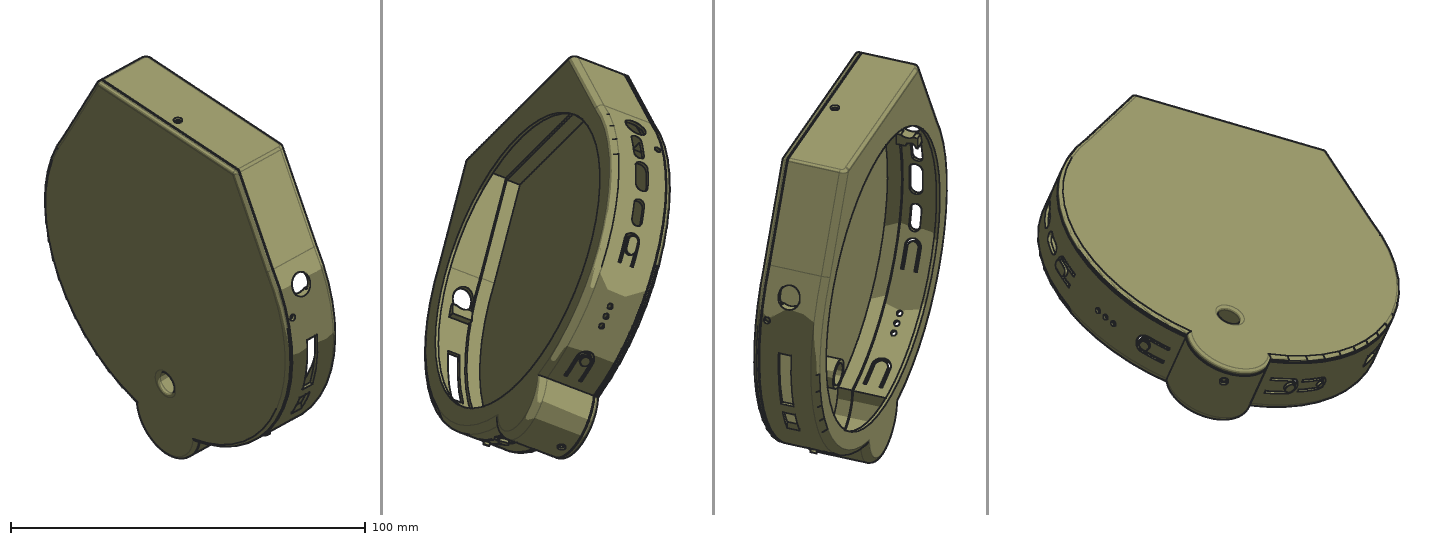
import cadquery as cq
import math

height = 115.8
body_radius = 51.24
body_center_z = 3.07
lobe_radius = 12.6
top_half_width = 28.8
shoulder_z = 30.8
corner_radius = 1.0

depth = 19.5
front_y = -depth / 2
back_y = depth / 2
wall = 1.0
lid_thickness = 1.6
seam_gap = 0.3
lip_depth = 4.3
edge_round = 1.0
back_round = 2.0

lid_back_y = front_y + lid_thickness
rim_y = lid_back_y + seam_gap

back_opening_diameter = 88.3
lid_hole_diameter = 6.5
lid_hole_z = -32.8
jack_diameter = 6.5
jack_y = -0.5
jack_z = 23.7
jack_shelf_top = 21.1
jack_shelf_bottom = 17.6
jack_shelves = [(-1, 44.6), (1, 46.1)]
pin_hole_diameter = 1.9
pin_hole_y = -6.1
pin_hole_z = 16.3
screw_y = -4.9
screw_diameter = 1.6
screw_head_diameter = 2.5
screw_head_depth = 0.5
left_slots = [(0.7, 14.2, 3.4, 9.3), (0.1, 3.1, 4.0, 10.2), (0.5, -9.0, 3.4, 8.1)]
right_ports = [(-0.1, -2.1, 3.8, 18.5), (-0.1, -19.0, 3.8, 8.1)]
mic_diameter = 1.6
mic_y = 1.0
mic_first_angle = 225.8
mic_pitch_angle = 3.4
mic_count = 3

button_y = 0.8
button_width = 3.0
small_button_width = 1.9
button_height = 0.9
slit_width = 0.8
buttons = [
    (205.3, 5.6, 4.9, 5.6, 1),
    (245.1, button_width, 5.7, 6.7, 1),
    (294.9, button_width, 5.7, 6.7, -1),
    (306.8, small_button_width, 4.5, 6.7, -1),
]

cut_length = 7.0

top_z = height / 2
lobe_center_z = -height / 2 + lobe_radius


def outline():
    """Closed outer outline, drawn in the XZ plane at Y = 0."""
    shoulder_x = math.sqrt(body_radius**2 - (shoulder_z - body_center_z) ** 2)
    center_gap = body_center_z - lobe_center_z
    drop = (body_radius**2 - lobe_radius**2 + center_gap**2) / (2 * center_gap)
    notch_x = math.sqrt(body_radius**2 - drop**2)
    notch_z = body_center_z - drop
    return (
        cq.Workplane("XZ")
        .moveTo(-top_half_width, top_z)
        .lineTo(top_half_width, top_z)
        .lineTo(shoulder_x, shoulder_z)
        .threePointArc((body_radius, body_center_z), (notch_x, notch_z))
        .threePointArc((0, -height / 2), (-notch_x, notch_z))
        .threePointArc((-body_radius, body_center_z), (-shoulder_x, shoulder_z))
        .close()
    )


def slab(y_start, y_end, inset=0.0, round_corners=True):
    """Plate with the outline, shrunk by inset, from y_start to y_end."""
    shape = outline().offset2D(-inset, "intersection") if inset else outline()
    plate = shape.extrude(-(y_end - y_start)).translate((0, y_start, 0))
    if round_corners and inset < corner_radius:
        top_zone = cq.selectors.BoxSelector(
            (-body_radius, front_y, top_z - corner_radius),
            (body_radius, back_y, top_z + corner_radius),
        )
        plate = plate.edges(top_zone).edges("|Y").fillet(corner_radius - inset)
    return plate


def rod_y(diameter, y_start, y_end, z):
    """Round bar along Y."""
    return (
        cq.Workplane("XZ", origin=(0, y_start, z))
        .circle(diameter / 2)
        .extrude(-(y_end - y_start))
    )


def arc_plane(angle, y):
    """Plane on the large arc: normal points outward, local x runs along the arc, counterclockwise."""
    a = math.radians(angle)
    normal = (math.cos(a), 0, math.sin(a))
    tangent = (-math.sin(a), 0, math.cos(a))
    origin = (body_radius * normal[0], y, body_center_z + body_radius * normal[2])
    return cq.Workplane(cq.Plane(origin=origin, xDir=tangent, normal=normal))


def button_slit(angle, length, slit_outer, leg, direction):
    """U-shaped slit around a button, with legs running along the arc."""
    plane = arc_plane(angle, button_y)
    end_center = -direction * (length - min(length, button_width)) / 2
    leg_end = direction * leg

    def tongue(width):
        band = (
            plane.center((end_center + leg_end) / 2, 0)
            .rect(abs(leg_end - end_center), width)
            .extrude(cut_length / 2, both=True)
        )
        head = plane.center(end_center, 0).circle(width / 2).extrude(cut_length / 2, both=True)
        return band.union(head)

    return tongue(slit_outer).cut(tongue(slit_outer - 2 * slit_width))


def button_pad(angle, length):
    """Raised button, round or elongated along the arc, starting inside the wall."""
    width = min(length, button_width)
    plane = arc_plane(angle, button_y).workplane(offset=-wall / 2)
    sketch = plane.slot2D(length, width) if length > width else plane.circle(width / 2)
    return sketch.extrude(wall / 2 + button_height)


def side_slot(side, y, z, width, length):
    """Rounded slot through the wall on one side, cut along X."""
    return (
        cq.Workplane("YZ", origin=(side * body_radius, y, z))
        .slot2D(length, width, 90)
        .extrude(cut_length, both=True)
    )


def side_port(y, z, width, length):
    """Rectangular port through the +X wall."""
    return cq.Workplane("XY").box(2 * cut_length, width, length).translate((body_radius, y, z))


def cross_hole(diameter, y, z):
    """Round hole along X through both side walls."""
    return cq.Workplane("YZ", origin=(0, y, z)).circle(diameter / 2).extrude(height, both=True)


def screw_hole(side):
    """Countersunk hole through the top (side 1) or bottom (side -1) wall."""
    plane = cq.Workplane(
        cq.Plane(origin=(0, screw_y, side * height / 2), xDir=(1, 0, 0), normal=(0, 0, -side))
    )
    head = (
        plane.circle(screw_head_diameter / 2)
        .workplane(offset=screw_head_depth)
        .circle(screw_diameter / 2)
        .loft()
    )
    return plane.circle(screw_diameter / 2).extrude(cut_length / 2).union(head)


def block_with_rounded_back():
    """Solid housing shape, with a smaller rounding along the top back edge than elsewhere."""
    block = slab(rim_y, back_y, round_corners=False)
    below_top = cq.selectors.BoxSelector(
        (-body_radius, rim_y, -height / 2),
        (body_radius, back_y + wall, top_z - corner_radius),
    )
    block = block.faces(">Y").edges(below_top).fillet(back_round)
    block = block.faces(">Y").edges(">Z").fillet(edge_round)
    return block.intersect(slab(rim_y, back_y))


def shelf(side, inner_x):
    """Small ledge on the inner face of a side wall, just under the jack hole."""
    tall = jack_shelf_top - jack_shelf_bottom
    ledge = (
        cq.Workplane("XY", origin=(side * (inner_x + body_radius) / 2, jack_y, jack_shelf_bottom))
        .box(body_radius - inner_x, jack_diameter, tall, centered=(True, True, False))
    )
    return ledge.intersect(slab(rim_y, back_y, wall / 2))


def make_housing():
    """Thin-walled shell, open at the front, with a large round opening in its back."""
    shell = block_with_rounded_back()
    shell = shell.cut(slab(rim_y, back_y - wall, wall))
    shell = shell.cut(rod_y(back_opening_diameter, 0, back_y + wall, body_center_z))
    for side, inner_x in jack_shelves:
        shell = shell.union(shelf(side, inner_x))
    for angle, length, slit_outer, leg, direction in buttons:
        shell = shell.cut(button_slit(angle, length, slit_outer, leg, direction))
        shell = shell.union(button_pad(angle, length))
    for slot in left_slots:
        shell = shell.cut(side_slot(-1, *slot))
    for port in right_ports:
        shell = shell.cut(side_port(*port))
    shell = shell.cut(cross_hole(jack_diameter, jack_y, jack_z))
    shell = shell.cut(cross_hole(pin_hole_diameter, pin_hole_y, pin_hole_z))
    for index in range(mic_count):
        plane = arc_plane(mic_first_angle + index * mic_pitch_angle, mic_y)
        shell = shell.cut(plane.circle(mic_diameter / 2).extrude(cut_length / 2, both=True))
    for side in (1, -1):
        shell = shell.cut(screw_hole(side))
    return shell


def make_lid():
    """Plate with a lip that fits inside the housing wall, and a boss around its hole."""
    plate = slab(front_y, lid_back_y).faces("<Y").edges().fillet(edge_round)
    lip_back_y = lid_back_y + lip_depth
    lip = slab(lid_back_y, lip_back_y, wall).cut(slab(lid_back_y, lip_back_y, 2 * wall))
    boss = rod_y(lid_hole_diameter + 2 * wall, lid_back_y, lip_back_y, lid_hole_z)
    lid = plate.union(lip).union(boss)
    lid = lid.cut(rod_y(lid_hole_diameter, front_y, back_y, lid_hole_z))
    hole_edge = cq.selectors.RadiusNthSelector(0)
    return lid.faces("<Y").edges("%CIRCLE").edges(hole_edge).fillet(edge_round)


housing = make_housing()
lid = make_lid()

result = cq.Compound.makeCompound([housing.val(), lid.val()])